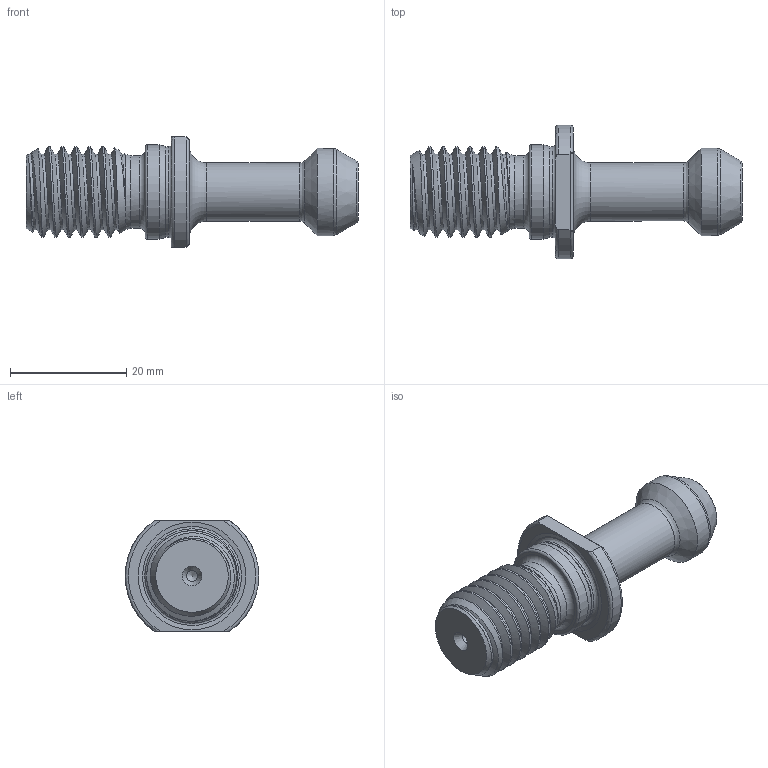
import cadquery as cq
import math

total_length = 57.15

pitch = 25.4 / 11
major_radius = 7.8
root_radius = 6.52
flank_slope = math.tan(math.radians(30))
crest_flat = pitch / 7
thread_end_radius = 6.25
thread_cone_slope = math.tan(math.radians(30))
groove_crossing = 3.98
turns_before_crossing = 3
turns_after_crossing = 6
groove_overshoot = 0.1
rod_overhang = 6.0
clearance_radius = 10.0

neck_radius = 6.25
neck_start = 17.6
runout_blend_radius = 1.7
neck_blend_radius = 0.95

collar_start = 20.5
collar_radius = 8.125
collar_edge_radius = 0.4
neck_middle = (neck_start + collar_start) / 2

undercut_start = 22.9
undercut_radius = 7.825
undercut_ramp_slope = math.tan(math.radians(15))
undercut_blend_radius = 0.6
face_undercut_radius = 9.25
face_undercut_slope = math.tan(math.radians(8))

flange_start = 25.0
flange_thickness = 3.1
flange_end = flange_start + flange_thickness
flange_radius = 23 / 2
across_flats = 19
flange_edge_radius = 0.55
flat_chamfer = 0.55

shank_radius = 5.0
shank_blend_radius = 3.0
head_radius = 7.5
head_start = 50.1
head_shoulder = 53.2
nose_cone_slope = math.tan(math.radians(30))
head_root_blend_radius = 1.3
head_shoulder_blend_radius = 0.8
nose_edge_radius = 0.4

centre_mouth_radius = 1.72
centre_drill_radius = 0.97
countersink_slope = math.tan(math.radians(30))
centre_drill_length = 1.5
drill_tip_slope = math.tan(math.radians(59))


def revolve_outline(points):
    """Solid of revolution about X from (x, radius) corner points."""
    return cq.Workplane("XY").polyline(points).close().revolve(360, (0, 0, 0), (1, 0, 0))


def round_edge(body, corner, blend_radius):
    """Round the circular edge that passes through the (x, radius) corner."""
    x, radius = corner
    tolerance = 1e-4

    def has_corner(edge):
        if edge.geomType() != "CIRCLE":
            return False
        return abs(edge.Center().x - x) < tolerance and abs(edge.radius() - radius) < tolerance

    edges = [edge for edge in body.edges().vals() if has_corner(edge)]
    return body.newObject(edges).fillet(blend_radius)


def make_turned_body():
    """Turned shape from the middle of the relief neck to the nose."""
    ramp_length = (collar_radius - undercut_radius) / undercut_ramp_slope
    face_undercut_depth = (face_undercut_radius - undercut_radius) * face_undercut_slope

    neck_back = (collar_start, neck_radius)
    collar_edge = (collar_start, collar_radius)
    undercut_floor_start = (undercut_start + ramp_length, undercut_radius)
    undercut_corner = (flange_start + face_undercut_depth, undercut_radius)
    flange_front_edge = (flange_start, flange_radius)
    flange_back_edge = (flange_end, flange_radius)
    shank_root = (flange_end, shank_radius)
    head_root = (head_start - (head_radius - shank_radius), shank_radius)
    shoulder = (head_shoulder, head_radius)
    nose_radius = head_radius - (total_length - head_shoulder) * nose_cone_slope
    nose_edge = (total_length, nose_radius)

    body = revolve_outline([
        (neck_middle, 0),
        (neck_middle, neck_radius),
        neck_back,
        collar_edge,
        (undercut_start, collar_radius),
        undercut_floor_start,
        undercut_corner,
        (flange_start, face_undercut_radius),
        flange_front_edge,
        flange_back_edge,
        shank_root,
        head_root,
        (head_start, head_radius),
        shoulder,
        nose_edge,
        (total_length, 0),
    ])
    for corner, blend_radius in [
        (neck_back, neck_blend_radius),
        (collar_edge, collar_edge_radius),
        (undercut_floor_start, undercut_blend_radius),
        (undercut_corner, undercut_blend_radius),
        (flange_front_edge, flange_edge_radius),
        (flange_back_edge, flange_edge_radius),
        (shank_root, shank_blend_radius),
        (head_root, head_root_blend_radius),
        (shoulder, head_shoulder_blend_radius),
        (nose_edge, nose_edge_radius),
    ]:
        body = round_edge(body, corner, blend_radius)
    return body


def make_flat_cutter():
    """Block beyond the +Z flat, stepped in to chamfer the flat's head-side edge."""
    flat_height = across_flats / 2
    return (
        cq.Workplane("XZ")
        .polyline([
            (flange_start, flat_height),
            (flange_end - flat_chamfer, flat_height),
            (flange_end, flat_height - flat_chamfer),
            (flange_end, flange_radius),
            (flange_start, flange_radius),
        ])
        .close()
        .extrude(flange_radius, both=True)
    )


def make_thread_groove():
    """Helical V groove, swept along Z and then laid along X."""
    turns = turns_before_crossing + turns_after_crossing
    start = groove_crossing - turns_before_crossing * pitch
    outer_radius = major_radius + groove_overshoot
    outer_half_width = (pitch - crest_flat) / 2 + groove_overshoot * flank_slope
    root_half_width = outer_half_width - (outer_radius - root_radius) * flank_slope

    helix = cq.Wire.makeHelix(pitch, turns * pitch, root_radius)
    groove = (
        cq.Workplane("XZ")
        .polyline([
            (root_radius, -root_half_width),
            (outer_radius, -outer_half_width),
            (outer_radius, outer_half_width),
            (root_radius, root_half_width),
        ])
        .close()
        .sweep(cq.Workplane(helix), isFrenet=True)
    )
    return groove.rotate((0, 0, 0), (0, 1, 0), 90).translate((start, 0, 0))


def make_threaded_end():
    """Grooved rod trimmed by the lead-in cone, then by the run-out cone and relief neck."""
    rod_start = -rod_overhang
    rod_length = collar_start - rod_start
    rod = cq.Workplane("YZ").workplane(offset=rod_start).circle(major_radius).extrude(rod_length)
    lead_in_length = (clearance_radius - thread_end_radius) / thread_cone_slope
    runout_length = (clearance_radius - neck_radius) / thread_cone_slope
    neck_front = (neck_start, neck_radius)

    lead_in_envelope = revolve_outline([
        (0, 0),
        (0, thread_end_radius),
        (lead_in_length, clearance_radius),
        (flange_start, clearance_radius),
        (flange_start, 0),
    ])
    runout_envelope = revolve_outline([
        (2 * rod_start, 0),
        (2 * rod_start, clearance_radius),
        (neck_start - runout_length, clearance_radius),
        neck_front,
        (neck_middle, neck_radius),
        (neck_middle, 0),
    ])
    runout_envelope = round_edge(runout_envelope, neck_front, runout_blend_radius)
    return rod.cut(make_thread_groove()).intersect(lead_in_envelope).intersect(runout_envelope)


def make_centre_hole():
    """Countersunk blind centre hole with a drill-point bottom."""
    countersink_depth = (centre_mouth_radius - centre_drill_radius) / countersink_slope
    drill_depth = countersink_depth + centre_drill_length
    return revolve_outline([
        (0, 0),
        (0, centre_mouth_radius),
        (countersink_depth, centre_drill_radius),
        (drill_depth, centre_drill_radius),
        (drill_depth + centre_drill_radius / drill_tip_slope, 0),
    ])


flat_cutter = make_flat_cutter()

stud = make_turned_body()
stud = stud.cut(flat_cutter).cut(flat_cutter.mirror("XY"))
stud = stud.union(make_threaded_end())
stud = stud.cut(make_centre_hole())

result = stud